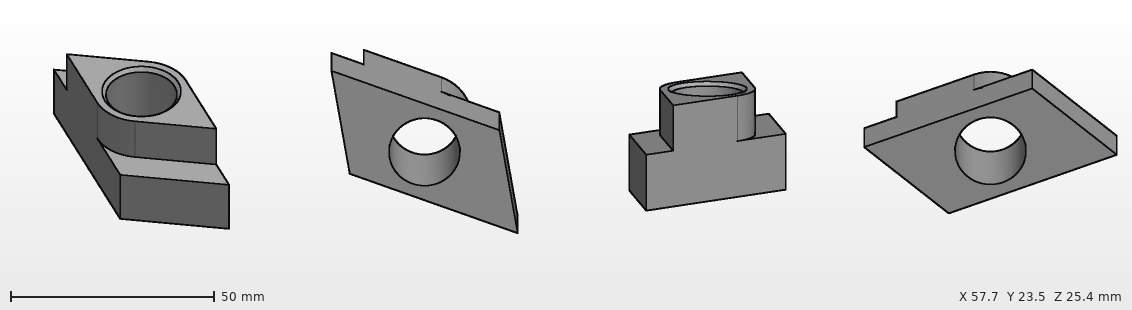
import cadquery as cq
import math

length = 57.7
width = 23.5
height = 25.4
base_height = 14.0
side_angle = math.radians(60)
bore_diameter = 17.5
bore_chamfer = 1.0

slant = width / math.tan(side_angle)
base_edge = length - slant
neck_edge = width / math.sin(side_angle)
neck_corner_radius = width / 2


def slanted_block(edge, bottom, top):
    """Parallelogram prism centred on the Z axis, with long edges along X."""
    half_span = (edge + slant) / 2
    half_width = width / 2
    corners = [
        (-half_span, -half_width),
        (edge - half_span, -half_width),
        (half_span, half_width),
        (half_span - edge, half_width),
    ]
    return cq.Workplane("XY").workplane(offset=bottom).polyline(corners).close().extrude(top - bottom)


def rounded_neck():
    """Rhombic neck with its two obtuse corners rounded about the bore axis."""
    neck = slanted_block(neck_edge, base_height, height)
    obtuse_edges = neck.edges("|Z").sort(lambda edge: math.hypot(edge.Center().x, edge.Center().y))[:2]
    return obtuse_edges.fillet(neck_corner_radius)


base = slanted_block(base_edge, 0, base_height)
body = base.union(rounded_neck())

bore = cq.Workplane("XY").circle(bore_diameter / 2).extrude(height)
body = body.cut(bore)
result = body.faces(">Z").edges("%CIRCLE").edges(
    cq.selectors.RadiusNthSelector(0)
).chamfer(bore_chamfer)